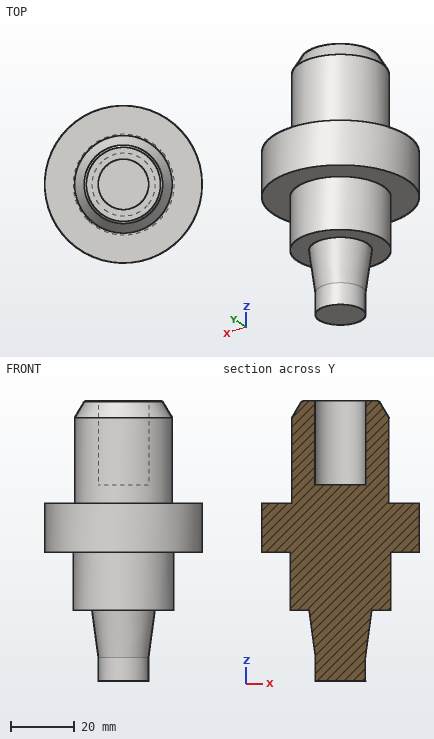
import cadquery as cq

tip_diameter = 16
taper_diameter = 20.0
lower_shank_diameter = 32
flange_diameter = 50.0
upper_shank_diameter = 31.0
nose_diameter = 24.9
top_face_diameter = 23.5
bore_diameter = 16

tip_length = 7.65
taper_length = 14.8
lower_shank_length = 18.4
flange_thickness = 15.6
nose_length = 5.4
edge_break_height = 0.4
total_length = 89
bore_depth = 26.7

taper_top = tip_length + taper_length
flange_bottom = taper_top + lower_shank_length
flange_top = flange_bottom + flange_thickness
nose_bottom = total_length - nose_length
nose_top = total_length - edge_break_height

profile = [
    (0, 0),
    (tip_diameter / 2, 0),
    (tip_diameter / 2, tip_length),
    (taper_diameter / 2, taper_top),
    (lower_shank_diameter / 2, taper_top),
    (lower_shank_diameter / 2, flange_bottom),
    (flange_diameter / 2, flange_bottom),
    (flange_diameter / 2, flange_top),
    (upper_shank_diameter / 2, flange_top),
    (upper_shank_diameter / 2, nose_bottom),
    (nose_diameter / 2, nose_top),
    (top_face_diameter / 2, total_length),
    (0, total_length),
]
body = cq.Workplane("XZ").polyline(profile).close().revolve(360, (0, 0), (0, 1))

bore = (
    cq.Workplane("XY")
    .workplane(offset=total_length - bore_depth)
    .circle(bore_diameter / 2)
    .extrude(bore_depth)
)

result = body.cut(bore)